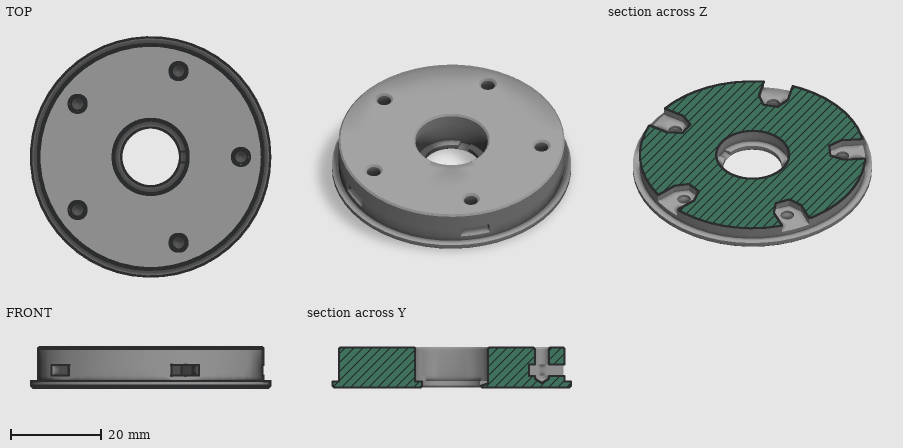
import cadquery as cq
import math

height = 9.0
flange_diameter = 53.0
flange_height = 1.5
flange_chamfer = 0.5
body_diameter = 50.05
edge_chamfer = 0.4

seat_diameter = 16.05
ledge_height = 1.5
through_diameter = 13.0

notch_width = 2.5
notch_outer_height = 1.0
notch_inner_height = 0.5

screw_count = 5
screw_circle_radius = 20.0
screw_diameter = 3.0
screw_mouth_diameter = 4.0
screw_mouth_depth = (screw_mouth_diameter - screw_diameter) / 2
screw_depth = 7.0
drill_tip_angle = 118.0

nut_across_corners = 6.45
nut_slot_height = 2.4
nut_slot_bottom = 2.7


def make_body():
    flange = cq.Workplane("XY").circle(flange_diameter / 2).extrude(flange_height)
    flange = flange.faces("<Z").chamfer(flange_chamfer)
    body = cq.Workplane("XY").circle(body_diameter / 2).extrude(height)
    body = body.faces(">Z").chamfer(edge_chamfer)
    return flange.union(body)


def make_bore():
    """Through hole, wider seat above the ledge and chamfered mouths at both ends."""
    seat_radius = seat_diameter / 2
    through_radius = through_diameter / 2
    return (
        cq.Workplane("XZ")
        .lineTo(through_radius + edge_chamfer, 0)
        .lineTo(through_radius, edge_chamfer)
        .lineTo(through_radius, ledge_height)
        .lineTo(seat_radius, ledge_height)
        .lineTo(seat_radius, height - edge_chamfer)
        .lineTo(seat_radius + edge_chamfer, height)
        .lineTo(0, height)
        .close()
        .revolve()
    )


def make_notch():
    """Cone falling from the seat wall to the through hole, limited to a strip on the +X side."""
    seat_radius = seat_diameter / 2
    cone = (
        cq.Workplane("XZ")
        .moveTo(0, ledge_height)
        .lineTo(seat_radius, ledge_height)
        .lineTo(seat_radius, notch_outer_height)
        .lineTo(through_diameter / 2, notch_inner_height)
        .lineTo(0, notch_inner_height)
        .close()
        .revolve()
    )
    strip = cq.Workplane("XY").box(seat_radius, notch_width, height, centered=(False, True, False))
    return cone.intersect(strip)


def make_screw_hole():
    """Blind drilled hole with a countersunk mouth and a conical tip, axis on Z."""
    radius = screw_diameter / 2
    floor = height - screw_depth
    tip = floor - radius / math.tan(math.radians(drill_tip_angle / 2))
    return (
        cq.Workplane("XZ")
        .moveTo(0, tip)
        .lineTo(radius, floor)
        .lineTo(radius, height - screw_mouth_depth)
        .lineTo(screw_mouth_diameter / 2, height)
        .lineTo(0, height)
        .close()
        .revolve()
    )


def make_nut_slot():
    """Hexagonal nut seat around the screw axis, opening outward along +X."""
    bottom = cq.Workplane("XY").workplane(offset=nut_slot_bottom)
    seat = bottom.polygon(6, nut_across_corners).extrude(nut_slot_height).rotate((0, 0, 0), (0, 0, 1), 90)
    channel = bottom.box(
        flange_diameter / 2 - screw_circle_radius,
        nut_across_corners,
        nut_slot_height,
        centered=(False, True, False),
    )
    return seat.union(channel)


result = make_body().cut(make_bore()).cut(make_notch())

screw_and_nut = make_screw_hole().union(make_nut_slot()).translate((screw_circle_radius, 0, 0))
for index in range(screw_count):
    angle = index * 360 / screw_count
    result = result.cut(screw_and_nut.rotate((0, 0, 0), (0, 0, 1), angle))